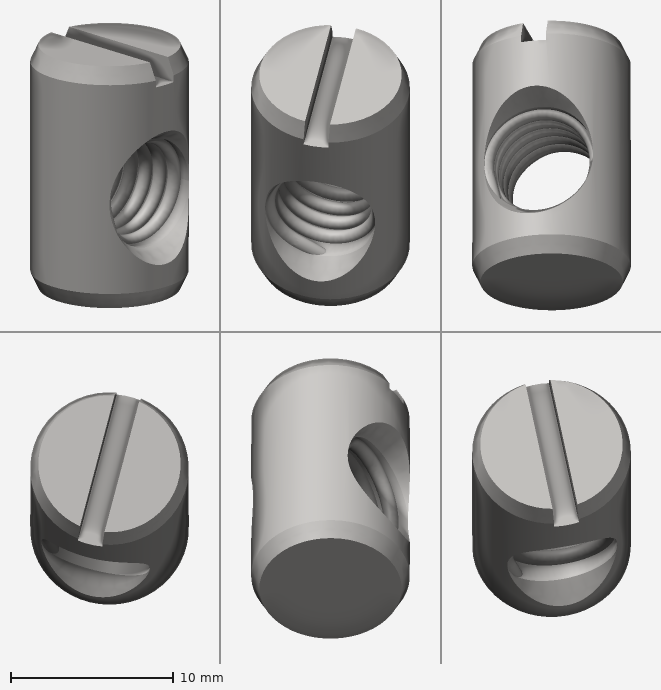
import cadquery as cq
import math

body_diameter = 9.77
body_length = 15.64
chamfer_length = 1.07
chamfer_inset = 0.5

slot_width = 1.56
slot_depth = 1.5

hole_height = 6.83
thread_minor_diameter = 5.92
thread_major_diameter = 6.9
thread_pitch = 1.25
thread_end_gap = 0.02
thread_start_angle = 26.0
sink_full_angle = 60.0

body_radius = body_diameter / 2
minor_radius = thread_minor_diameter / 2
major_radius = thread_major_diameter / 2
ridge_radius = major_radius - minor_radius
sink_floor = math.sqrt(body_radius**2 - major_radius**2)
sink_slope = math.tan(math.radians(sink_full_angle / 2))
thread_length = 2 * (sink_floor - ridge_radius - thread_end_gap)
cut_margin = 1.0


def make_barrel():
    """Cylinder standing on Z = 0 with a conical lead at both ends."""
    end_radius = body_radius - chamfer_inset
    return (
        cq.Workplane("XZ")
        .moveTo(0, 0)
        .lineTo(end_radius, 0)
        .lineTo(body_radius, chamfer_length)
        .lineTo(body_radius, body_length - chamfer_length)
        .lineTo(end_radius, body_length)
        .lineTo(0, body_length)
        .close()
        .revolve(360, (0, 0, 0), (0, 1, 0))
    )


def make_slot():
    """Straight screwdriver slot running right across the top face."""
    slot_length = body_diameter + 2 * cut_margin
    return (
        cq.Workplane("XY")
        .workplane(offset=body_length - slot_depth)
        .rect(slot_length, slot_width)
        .extrude(slot_depth + cut_margin)
    )


def make_bore():
    """Major-diameter bore with a countersink at each mouth, turned about the X axis."""
    sink_end = body_radius + cut_margin
    sink_end_radius = major_radius + (sink_end - sink_floor) * sink_slope
    return (
        cq.Workplane("XY")
        .moveTo(-sink_end, 0)
        .lineTo(-sink_end, sink_end_radius)
        .lineTo(-sink_floor, major_radius)
        .lineTo(sink_floor, major_radius)
        .lineTo(sink_end, sink_end_radius)
        .lineTo(sink_end, 0)
        .close()
        .revolve(360, (0, 0, 0), (1, 0, 0))
        .translate((0, 0, hole_height))
    )


def make_thread_ridge():
    """Right-hand round ridge, half sunk in the bore wall, that runs out straight at both ends.

    It is wound about Z, then laid along the X axis.
    """
    runout_length = math.sqrt((major_radius + ridge_radius) ** 2 - major_radius**2)
    turn_circumference = 2 * math.pi * major_radius
    end_angle = 2 * math.pi * thread_length / thread_pitch

    def helix_point(angle):
        height = thread_pitch * angle / (2 * math.pi)
        return cq.Vector(major_radius * math.cos(angle), major_radius * math.sin(angle), height)

    def helix_tangent(angle):
        across = -turn_circumference * math.sin(angle)
        along = turn_circumference * math.cos(angle)
        return cq.Vector(across, along, thread_pitch).normalized()

    first_end = helix_point(0) - helix_tangent(0) * runout_length
    last_end = helix_point(end_angle) + helix_tangent(end_angle) * runout_length
    helix = cq.Wire.makeHelix(thread_pitch, thread_length, major_radius)
    path = cq.Wire.assembleEdges([
        cq.Edge.makeLine(first_end, helix_point(0)),
        *helix.Edges(),
        cq.Edge.makeLine(helix_point(end_angle), last_end),
    ])
    section_plane = cq.Plane(origin=first_end, xDir=(1, 0, 0), normal=helix_tangent(0))
    return (
        cq.Workplane(section_plane)
        .circle(ridge_radius)
        .sweep(cq.Workplane(path), isFrenet=True)
        .translate((0, 0, -thread_length / 2))
        .rotate((0, 0, 0), (0, 0, 1), thread_start_angle)
        .rotate((0, 0, 0), (0, 1, 0), 90)
        .translate((0, 0, hole_height))
    )


threaded_bore = make_bore().cut(make_thread_ridge())
result = make_barrel().cut(make_slot()).cut(threaded_bore)